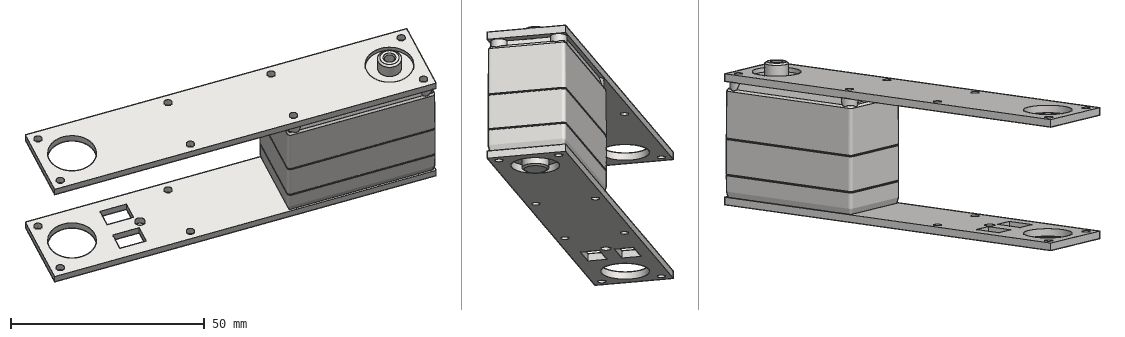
import cadquery as cq


PLATE_LENGTH = 105.6
PLATE_WIDTH = 21.0
PLATE_THICKNESS = 2.0
UPPER_PLATE_Z = 32.4
HORN_HOLE_DIAMETER = 12.6
HORN_HOLE_INSET = 8.9
SCREW_HOLE_DIAMETER = 2.1
SCREW_HOLE_INSET = 2.5
SCREW_SPACING_X = 16.0
SCREW_SPACING_Y = 36.0

HORN_Y = PLATE_LENGTH / 2 - HORN_HOLE_INSET
OUTER_SCREW_Y = PLATE_LENGTH / 2 - SCREW_HOLE_INSET
INNER_SCREW_Y = OUTER_SCREW_Y - SCREW_SPACING_Y

WINDOW_WIDTH = 5.1
WINDOW_LENGTH = 7.3
WINDOW_SPACING = 9.1
WINDOW_Y = -29.8
CABLE_HOLE_DIAMETER = 2.6
CABLE_HOLE_Y = -25.1

CASE_WIDTH = 20.9
CASE_LENGTH = 41.0
CASE_Y = PLATE_LENGTH / 2 - CASE_LENGTH / 2
CORNER_RADIUS = 1.0
CASE_DRAFT = 0.5
LOWER_SPLIT_Z = 7.7
UPPER_SPLIT_Z = 17.5
SEAM_HEIGHT = 0.3
SEAM_DEPTH = 0.5
CASE_SHOULDER_Z = 30.5
FOOT_BEVEL_HEIGHT = 1.5
FOOT_BEVEL_INSET = 0.4
SHOULDER_BEVEL_HEIGHT = 0.6
SHOULDER_BEVEL_INSET = 0.4

ROOF_SIDE_INSET = 0.5
ROOF_END_INSET = 2.0
ROOF_TAPER = 15.0
BOSS_DIAMETER = 4.3
BOSS_HOLE_DIAMETER = 1.7
BOSS_HOLE_DEPTH = 4.2
COLLAR_HEIGHT = 0.8

OUTPUT_DIAMETER = 6.2
OUTPUT_TOP_Z = 37.1
OUTPUT_SEAT_Z = UPPER_PLATE_Z - PLATE_THICKNESS
OUTPUT_CHAMFER_WIDTH = 0.6
OUTPUT_CHAMFER_HEIGHT = 0.4
BORE_DIAMETER = 2.6
BORE_MOUTH_DIAMETER = 3.3
BORE_DEPTH = 4.2

IDLER_DIAMETER = 7.0
IDLER_BOTTOM_Z = -1.1
IDLER_SEAT_Z = 2 * PLATE_THICKNESS
IDLER_CHAMFER_WIDTH = 0.5
IDLER_CHAMFER_HEIGHT = 0.4


def cylinder(diameter, x, y, z_bottom, z_top):
    """Upright cylinder between two heights."""
    return (
        cq.Workplane("XY", origin=(x, y, z_bottom))
        .circle(diameter / 2)
        .extrude(z_top - z_bottom)
    )


def make_plate(z_bottom):
    """Side plate with a horn hole at each end and four rows of screw holes."""
    plate = (
        cq.Workplane("XY", origin=(0, 0, z_bottom))
        .rect(PLATE_WIDTH, PLATE_LENGTH)
        .extrude(PLATE_THICKNESS)
    )
    top = plate.faces(">Z").workplane(origin=(0, 0, 0))
    plate = top.pushPoints([(0, HORN_Y), (0, -HORN_Y)]).hole(HORN_HOLE_DIAMETER)
    screw_points = [
        (side * SCREW_SPACING_X / 2, end * row)
        for side in (-1, 1)
        for end in (-1, 1)
        for row in (INNER_SCREW_Y, OUTER_SCREW_Y)
    ]
    top = plate.faces(">Z").workplane(origin=(0, 0, 0))
    return top.pushPoints(screw_points).hole(SCREW_HOLE_DIAMETER)


def make_lower_plate():
    """Side plate with two cable windows and a small cable hole."""
    plate = make_plate(0)
    windows = (
        cq.Workplane("XY", origin=(0, WINDOW_Y, 0))
        .rarray(WINDOW_SPACING, 1.1, 2, 1)
        .rect(WINDOW_WIDTH, WINDOW_LENGTH)
        .extrude(PLATE_THICKNESS)
    )
    cable_hole = cylinder(CABLE_HOLE_DIAMETER, 0, CABLE_HOLE_Y, 0, PLATE_THICKNESS)
    return plate.cut(windows).cut(cable_hole)


def case_block(z_start, z_end, draft=0.0):
    """Slice of the servo case with rounded corners, full size at z_start and drafted towards z_end."""
    return (
        cq.Workplane("XY", origin=(0, CASE_Y, z_start))
        .sketch()
        .rect(CASE_WIDTH, CASE_LENGTH)
        .vertices()
        .fillet(CORNER_RADIUS)
        .finalize()
        .extrude(z_end - z_start, taper=draft)
    )


def make_bottom_case():
    """Bottom slice, bevelled towards the lower plate, with the idler seat."""
    case = case_block(LOWER_SPLIT_Z, PLATE_THICKNESS, CASE_DRAFT)
    case = case.faces("<Z").chamfer(FOOT_BEVEL_HEIGHT, FOOT_BEVEL_INSET)
    return case.cut(cylinder(IDLER_DIAMETER, 0, HORN_Y, PLATE_THICKNESS, IDLER_SEAT_Z))


def make_middle_case():
    """Middle slice, necked in at both ends to leave the seam grooves."""
    case = case_block(LOWER_SPLIT_Z + SEAM_HEIGHT, UPPER_SPLIT_Z - SEAM_HEIGHT)
    neck = (
        cq.Workplane("XY", origin=(0, CASE_Y, LOWER_SPLIT_Z))
        .rect(CASE_WIDTH - 2 * SEAM_DEPTH, CASE_LENGTH - 2 * SEAM_DEPTH)
        .extrude(UPPER_SPLIT_Z - LOWER_SPLIT_Z)
    )
    return case.union(neck)


def make_top_case():
    """Top slice with a tapered roof, four screw bosses and the output shaft collar."""
    case = case_block(UPPER_SPLIT_Z, CASE_SHOULDER_Z, CASE_DRAFT)
    case = case.faces(">Z").chamfer(SHOULDER_BEVEL_HEIGHT, SHOULDER_BEVEL_INSET)
    roof = (
        cq.Workplane("XY", origin=(0, CASE_Y, CASE_SHOULDER_Z))
        .rect(CASE_WIDTH - 2 * ROOF_SIDE_INSET, CASE_LENGTH - 2 * ROOF_END_INSET)
        .extrude(UPPER_PLATE_Z - CASE_SHOULDER_Z, taper=ROOF_TAPER)
    )
    case = case.union(roof)

    boss_points = [
        (side * SCREW_SPACING_X / 2, row)
        for side in (-1, 1)
        for row in (INNER_SCREW_Y, OUTER_SCREW_Y)
    ]
    boss_foot_z = CASE_SHOULDER_Z - SHOULDER_BEVEL_HEIGHT
    for x, y in boss_points:
        case = case.union(cylinder(BOSS_DIAMETER, x, y, boss_foot_z, UPPER_PLATE_Z))
    hole_bottom_z = UPPER_PLATE_Z - BOSS_HOLE_DEPTH
    for x, y in boss_points:
        case = case.cut(cylinder(BOSS_HOLE_DIAMETER, x, y, hole_bottom_z, UPPER_PLATE_Z))

    collar_top_z = UPPER_PLATE_Z + COLLAR_HEIGHT
    case = case.union(cylinder(HORN_HOLE_DIAMETER, 0, HORN_Y, CASE_SHOULDER_Z, collar_top_z))
    return case.cut(cylinder(OUTPUT_DIAMETER, 0, HORN_Y, OUTPUT_SEAT_Z, collar_top_z))


def make_output_shaft():
    """Output shaft with a chamfered top and a blind bore."""
    shaft = cylinder(OUTPUT_DIAMETER, 0, HORN_Y, OUTPUT_SEAT_Z, OUTPUT_TOP_Z)
    shaft = shaft.faces(">Z").chamfer(OUTPUT_CHAMFER_HEIGHT, OUTPUT_CHAMFER_WIDTH)
    bore = cylinder(BORE_DIAMETER, 0, HORN_Y, OUTPUT_TOP_Z - BORE_DEPTH, OUTPUT_TOP_Z)
    shaft = shaft.cut(bore)
    mouth_edge = cq.selectors.RadiusNthSelector(0)
    return shaft.faces(">Z").edges(mouth_edge).chamfer((BORE_MOUTH_DIAMETER - BORE_DIAMETER) / 2)


def make_idler_shaft():
    """Idler stub through the lower plate, seated in the bottom case."""
    shaft = cylinder(IDLER_DIAMETER, 0, HORN_Y, IDLER_BOTTOM_Z, IDLER_SEAT_Z)
    return shaft.faces("<Z").chamfer(IDLER_CHAMFER_HEIGHT, IDLER_CHAMFER_WIDTH)


lower_plate = make_lower_plate()
upper_plate = make_plate(UPPER_PLATE_Z)
bottom_case = make_bottom_case()
middle_case = make_middle_case()
top_case = make_top_case()
output_shaft = make_output_shaft()
idler_shaft = make_idler_shaft()

result = cq.Compound.makeCompound([
    lower_plate.val(),
    upper_plate.val(),
    bottom_case.val(),
    middle_case.val(),
    top_case.val(),
    output_shaft.val(),
    idler_shaft.val(),
])